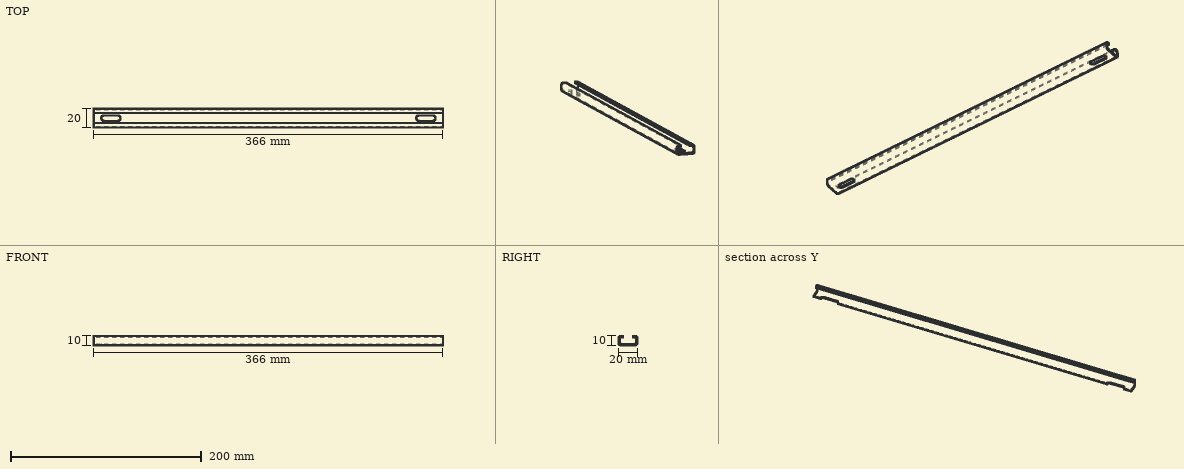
import cadquery as cq

LENGTH = 366.0
WIDTH = 20.0
HEIGHT = 10.0

THICKNESS = 1.5
BEND_RADIUS = 3.0
MOUTH_WIDTH = 10.5

SLOT_LENGTH = 20.0
SLOT_WIDTH = 5.5
SLOT_END_DISTANCE = 18.0


def rounded_bar(width, height, bend_radius):
    """Full-length bar, centred on the origin, with its four long edges rounded."""
    return cq.Workplane("XY").box(LENGTH, width, height).edges("|X").fillet(bend_radius)


def make_rail():
    """C-shaped rail: a closed tube opened along the top to leave two lips."""
    outside = rounded_bar(WIDTH, HEIGHT, BEND_RADIUS)
    inside = rounded_bar(
        WIDTH - 2 * THICKNESS,
        HEIGHT - 2 * THICKNESS,
        BEND_RADIUS - THICKNESS,
    )
    mouth = cq.Workplane("XY").box(LENGTH, MOUTH_WIDTH, HEIGHT / 2, centered=(True, True, False))
    return outside.cut(inside).cut(mouth)


def make_slots():
    """Pair of cutters for the long slots, one near each end of the base."""
    slot_spacing = LENGTH - 2 * SLOT_END_DISTANCE
    return (
        cq.Workplane("XY", origin=(0, 0, -HEIGHT / 2))
        .rarray(slot_spacing, 1, 2, 1)
        .slot2D(SLOT_LENGTH, SLOT_WIDTH)
        .extrude(HEIGHT / 2)
    )


result = make_rail().cut(make_slots())